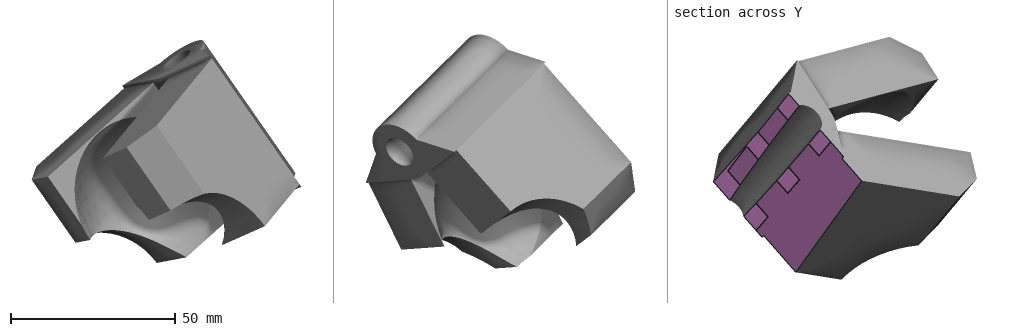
import cadquery as cq

hinge_length = 50.0
hinge_radius = 10.0
bore_diameter = 10.0
first_knuckle_length = 8.0

jaw_outer = 20.0
parting_gap = 2.0
jaw_length = 48.0
jaw_inset = 1.0
tip_chamfer = 8.0

dish_rim_radius = 23.7
dish_wall = 6.0
mouth_radius = 25.05

opening_angle = 23.1
tilt_x, tilt_y, tilt_z = -162.0, -30.0, -27.3

jaw_start = hinge_radius
jaw_end = jaw_start + jaw_length
jaw_height = hinge_length - 2 * jaw_inset
middle_height = hinge_length / 2

second_knuckle_length = (hinge_length - 3 * first_knuckle_length) / 2
knuckle_pitch = first_knuckle_length + second_knuckle_length
first_half_knuckles = [(i * knuckle_pitch, first_knuckle_length) for i in range(3)]
second_half_knuckles = [(first_knuckle_length + i * knuckle_pitch, second_knuckle_length) for i in range(2)]

dish_depth = jaw_outer - parting_gap - dish_wall
dish_sphere_radius = (dish_rim_radius**2 + dish_depth**2) / (2 * dish_depth)
dish_sphere_x = jaw_outer - dish_wall - dish_sphere_radius
dish_y = jaw_start + middle_height

mouth_y = jaw_start + hinge_length
mouth_z = hinge_length


def barrel(radius, start, length):
    """Cylinder on the hinge axis."""
    return cq.Workplane("XY").workplane(offset=start).circle(radius).extrude(length)


def jaw():
    """Jaw block with a chamfered outer tip edge, a spherical dish and a round mouth in one corner."""
    block = (
        cq.Workplane("XY")
        .workplane(offset=jaw_inset)
        .moveTo(parting_gap, jaw_start)
        .lineTo(jaw_outer, jaw_start)
        .lineTo(jaw_outer, jaw_end - tip_chamfer)
        .lineTo(jaw_outer - tip_chamfer, jaw_end)
        .lineTo(parting_gap, jaw_end)
        .close()
        .extrude(jaw_height)
    )
    dish = cq.Workplane("XY").sphere(dish_sphere_radius).translate((dish_sphere_x, dish_y, middle_height))
    mouth = cq.Workplane("YZ").center(mouth_y, mouth_z).circle(mouth_radius).extrude(jaw_outer)
    return block.cut(dish).cut(mouth)


def lug():
    """Wedge that carries the jaw from the hinge, over the full hinge length."""
    return (
        cq.Workplane("XY")
        .moveTo(0, 0)
        .lineTo(hinge_radius, 0)
        .lineTo(jaw_outer, jaw_start)
        .lineTo(0, jaw_start)
        .close()
        .extrude(hinge_length)
    )


def clamp_half(knuckles):
    """One half on the +X side, with hinge knuckles at the given (start, length) places."""
    half = jaw().union(lug().cut(barrel(hinge_radius, 0, hinge_length)))
    for start, length in knuckles:
        half = half.union(barrel(hinge_radius, start, length))
    return half.cut(barrel(bore_diameter / 2, 0, hinge_length))


def place(half, swing):
    """Swing a half about the hinge axis, then tilt it to the attitude of the open clamp."""
    return (
        half.rotate((0, 0, 0), (0, 0, 1), swing)
        .rotate((0, 0, 0), (1, 0, 0), tilt_x)
        .rotate((0, 0, 0), (0, 1, 0), tilt_y)
        .rotate((0, 0, 0), (0, 0, 1), tilt_z)
    )


first_half = place(clamp_half(first_half_knuckles), -opening_angle / 2)
second_half = place(clamp_half(second_half_knuckles).mirror("YZ"), opening_angle / 2)

result = cq.Compound.makeCompound([first_half.val(), second_half.val()])